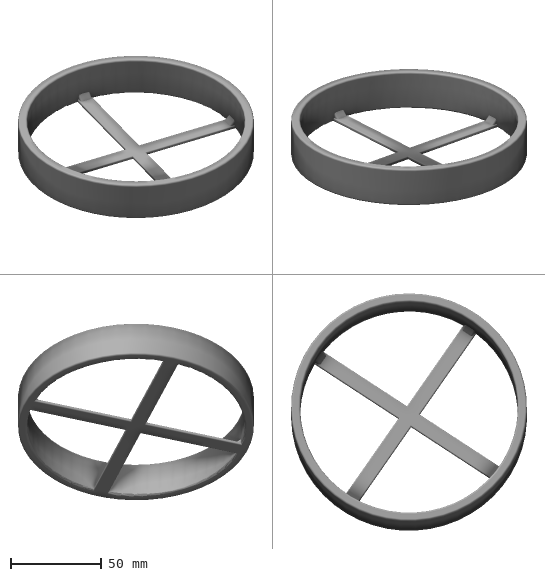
import cadquery as cq

outer_diameter = 130.5
inner_diameter = 120.5
ring_height = 22.0
ring_edge_radius = 1.0

bar_width = 8.5
bar_thickness = 2.0
bar_edge_radius = 0.7

gusset_run = 3.0
gusset_rise = 3.0
gusset_edge_radius = 1.0

inner_radius = inner_diameter / 2
wall_thickness = (outer_diameter - inner_diameter) / 2
wall_middle_radius = inner_radius + wall_thickness / 2
gusset_width = bar_width - 2 * bar_edge_radius
bar_count = 2
gusset_count = 2 * bar_count


def make_ring():
    """Plain ring with all four circular edges rounded."""
    ring = cq.Workplane("XY").circle(outer_diameter / 2).circle(inner_radius).extrude(ring_height)
    return ring.edges("%CIRCLE").fillet(ring_edge_radius)


def make_cross():
    """Two perpendicular bars whose ends are buried in the ring wall."""
    bar_length = 2 * wall_middle_radius
    bar = cq.Workplane("XY").box(bar_length, bar_width, bar_thickness, centered=(True, True, False))
    cross = bar.union(bar.rotate((0, 0, 0), (0, 0, 1), 90))
    return cross.faces("<Z or >Z").edges().fillet(bar_edge_radius)


def make_gusset():
    """Wedge on the +X bar end, rising outward to the ring wall."""
    toe = inner_radius - gusset_run
    top = bar_thickness + gusset_rise
    overlap_depth = bar_thickness / 2
    wedge = (
        cq.Workplane("XZ")
        .moveTo(toe, overlap_depth)
        .lineTo(toe, bar_thickness)
        .lineTo(inner_radius, top)
        .lineTo(wall_middle_radius, top)
        .lineTo(wall_middle_radius, overlap_depth)
        .close()
        .extrude(gusset_width / 2, both=True)
    )
    slope_direction = cq.Vector(gusset_run, 0, gusset_rise)
    slope_edges = wedge.edges(cq.selectors.ParallelDirSelector(slope_direction))
    return slope_edges.fillet(gusset_edge_radius)


result = make_ring().union(make_cross())
gusset = make_gusset()
for index in range(gusset_count):
    angle = index * 360 / gusset_count
    result = result.union(gusset.rotate((0, 0, 0), (0, 0, 1), angle))